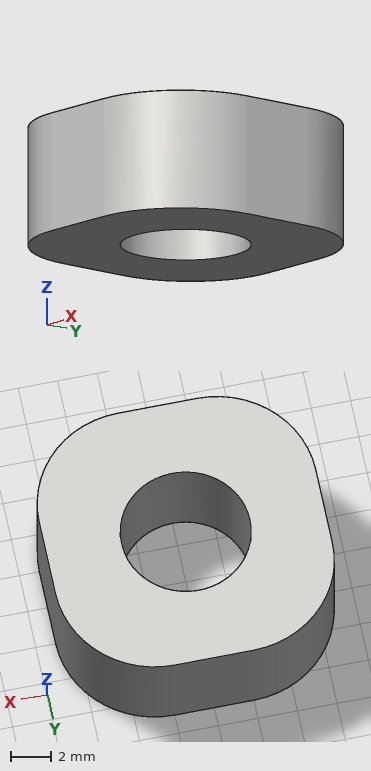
import cadquery as cq

side = 14.0
height = 6.0
corner_radius = 5.0
bore_diameter = 6.5

body = (
    cq.Workplane("XY")
    .rect(side, side)
    .extrude(height)
    .edges("|Z")
    .fillet(corner_radius)
)

result = body.faces(">Z").workplane().hole(bore_diameter)